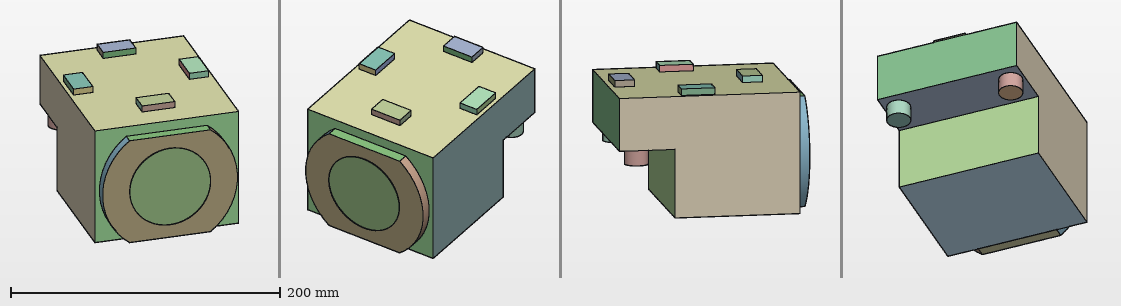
import cadquery as cq

total_length = 145.0
body_width = 112.0
total_height = 97.0
body_height = 92.1
overhang_length = 42.0
overhang_thickness = 40.0

flange_diameter = 105.0
flange_height = 84.0
flange_center_z = 42.2
face_disc_diameter = 63.0
face_disc_thickness = 0.6
flange_thickness = 8.1
body_length = total_length - flange_thickness - face_disc_thickness

pin_diameter = 18.0
pin_length = 12.0
pin_x = 14.8
pin_spacing = 90.0

pad_length = 25.4
pad_width = 15.0
pad_height = total_height - body_height
pad_center_x = 60.0
pad_spacing_x = 96.4
pad_spacing_y = 90.2

overhang_z = body_height - overhang_thickness


def make_body():
    """Full-length block with the lower corner under the overhang left out."""
    profile = [
        (0, overhang_z),
        (overhang_length, overhang_z),
        (overhang_length, 0),
        (body_length, 0),
        (body_length, body_height),
        (0, body_height),
    ]
    return cq.Workplane("XZ").polyline(profile).close().extrude(body_width / 2, both=True)


def make_flange():
    """Flat-sided flange carrying a thin round disc on its outer face."""
    end_plane = cq.Workplane("YZ", origin=(body_length, 0, flange_center_z))
    flats = end_plane.rect(flange_diameter, flange_height).extrude(flange_thickness)
    flange = end_plane.circle(flange_diameter / 2).extrude(flange_thickness).intersect(flats)
    face_disc = (
        end_plane.workplane(offset=flange_thickness)
        .circle(face_disc_diameter / 2)
        .extrude(face_disc_thickness)
    )
    return flange.union(face_disc)


def make_pins():
    """Pair of round pins hanging from the overhang."""
    return (
        cq.Workplane("XY", origin=(pin_x, 0, overhang_z))
        .pushPoints([(0, -pin_spacing / 2), (0, pin_spacing / 2)])
        .circle(pin_diameter / 2)
        .extrude(-pin_length)
    )


def make_pads(spacing_x, spacing_y, size_x, size_y):
    """Pair of equal pads placed symmetrically about the pad centre."""
    return (
        cq.Workplane("XY", origin=(pad_center_x, 0, body_height))
        .pushPoints([(-spacing_x / 2, -spacing_y / 2), (spacing_x / 2, spacing_y / 2)])
        .rect(size_x, size_y)
        .extrude(pad_height)
    )


pads_along_x = make_pads(0, pad_spacing_y, pad_length, pad_width)
pads_along_y = make_pads(pad_spacing_x, 0, pad_width, pad_length)

result = (
    make_body()
    .union(make_flange())
    .union(make_pins())
    .union(pads_along_x)
    .union(pads_along_y)
)